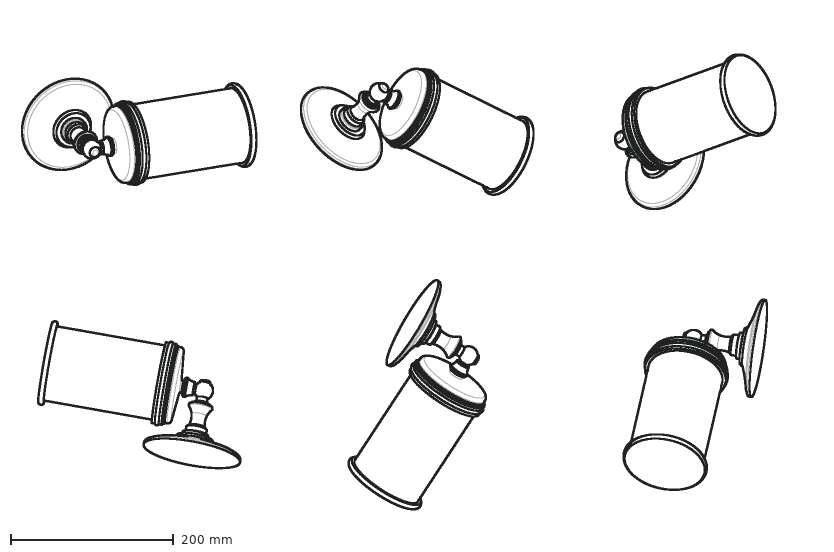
import cadquery as cq



plate_radius = 60.3
plate_edge = 2.3
plate_bevel = 4.5
plate_bevel_radius = 59.0
plate_round_middle = (3.5, 59.8)
plate_rim_end = 6.2
plate_rim_end_radius = 55.2
plate_slope_end = 15.7
plate_slope_end_radius = 25.0
plate_dish_middle = (10.0, 40.7)
plate_depth = 19.5
plate_front_radius = 22.5

collar_end = 25.3
collar_radius = 16.2
collar_round = 1.0
neck_end = 32.2
neck_radius = 13.0
waist_start = 34.8
waist_start_radius = 10.0
waist_middle = (42.3, 8.8)
flare_start = 49.5
flare_start_radius = 9.5
flare_lip = 59.0
flare_lip_radius = 14.7
flare_middle = (54.7, 11.5)
lip_end = 62.1
lip_end_radius = 13.2
lip_middle = (61.0, 14.7)
first_step_end = 63.7
first_step_radius = 11.3
second_step_end = 65.5
second_step_radius = 8.3
spigot_radius = 6.7

jar_axis_x = 81.0
ball_radius = 11.5
cap_end = 93.3
cap_radius = 6.7
cap_round = 2.8

post_radius = 6.2
cup_bottom = 12.6
cup_bottom_radius = 8.5
cup_lip_bottom = 21.1
cup_lip_bottom_radius = 11.3
cup_side_middle = (9.3, 17.3)
cup_lip_radius = 12.0
cup_lip_top = 23.7
cup_top = 25.3
cup_top_radius = 10.5
stalk_radius = 6.5
stalk_flare_start = 26.5
stalk_flare_end = 29.5
stalk_flare_radius = 11.0
stalk_flare_middle = (8.0, 28.4)

floor_apex = 28.0
floor_edge = 32.7
floor_edge_radius = 43.5
base_wall_start = 37.5
floor_round_middle = (46.7, 34.3)
base_radius = 47.7
base_wall_end = 39.7
base_top = 41.0
base_top_radius = 48.2
lower_step_top = 43.3
lower_step_radius = 48.7
upper_step_top = 47.0
step_radius = 50.5
bead_radius = 52.0
base_bead_top = 51.8
shoulder_top = 55.7
body_radius = 46.5
rim_bottom = 190.8
jar_top = 197.5
bead_land_radius = 50.0


def revolve_about_x(profile):
    return profile.close().revolve(360, (0, 0, 0), (1, 0, 0))


def revolve_about_jar_axis(profile):
    return profile.close().revolve(360, (0, 0, 0), (0, 1, 0)).translate((jar_axis_x, 0, 0))


def wall_plate():
    """Shallow dished cone with a rounded rim."""
    profile = (
        cq.Workplane("XY")
        .lineTo(0, plate_radius)
        .lineTo(plate_edge, plate_radius)
        .threePointArc(plate_round_middle, (plate_bevel, plate_bevel_radius))
        .lineTo(plate_rim_end, plate_rim_end_radius)
        .threePointArc(plate_dish_middle, (plate_slope_end, plate_slope_end_radius))
        .lineTo(plate_depth, plate_front_radius)
        .lineTo(plate_depth, 0)
    )
    return revolve_about_x(profile)


def arm():
    """Turned arm: collar, neck, waisted flare, two steps and a spigot into the ball."""
    profile = (
        cq.Workplane("XY")
        .lineTo(0, collar_radius)
        .lineTo(collar_end - collar_round, collar_radius)
        .radiusArc((collar_end, collar_radius - collar_round), collar_round)
        .lineTo(collar_end, neck_radius)
        .lineTo(neck_end, neck_radius)
        .lineTo(waist_start, waist_start_radius)
        .threePointArc(waist_middle, (flare_start, flare_start_radius))
        .threePointArc(flare_middle, (flare_lip, flare_lip_radius))
        .threePointArc(lip_middle, (lip_end, lip_end_radius))
        .lineTo(lip_end, first_step_radius)
        .lineTo(first_step_end, first_step_radius)
        .lineTo(first_step_end, second_step_radius)
        .lineTo(second_step_end, second_step_radius)
        .lineTo(second_step_end, spigot_radius)
        .lineTo(jar_axis_x, spigot_radius)
        .lineTo(jar_axis_x, 0)
    )
    return revolve_about_x(profile)


def ball_joint():
    """Ball at the end of the arm, with a round-edged cap on its far side."""
    ball = cq.Workplane("XY").sphere(ball_radius).translate((jar_axis_x, 0, 0))
    cap = (
        cq.Workplane("YZ", origin=(jar_axis_x, 0, 0))
        .circle(cap_radius)
        .extrude(cap_end - jar_axis_x)
        .faces(">X")
        .edges()
        .fillet(cap_round)
    )
    return ball.union(cap)


def pedestal():
    """Post, flared cup and stalk that carry the jar above the ball."""
    cup_lip_mid_y = (cup_lip_bottom + cup_lip_top) / 2
    profile = (
        cq.Workplane("XY")
        .lineTo(post_radius, 0)
        .lineTo(post_radius, cup_bottom)
        .lineTo(cup_bottom_radius, cup_bottom)
        .threePointArc(cup_side_middle, (cup_lip_bottom_radius, cup_lip_bottom))
        .threePointArc((cup_lip_radius, cup_lip_mid_y), (cup_lip_bottom_radius, cup_lip_top))
        .lineTo(cup_top_radius, cup_lip_top)
        .lineTo(cup_top_radius, cup_top)
        .lineTo(stalk_radius, cup_top)
        .lineTo(stalk_radius, stalk_flare_start)
        .threePointArc(stalk_flare_middle, (stalk_flare_radius, stalk_flare_end))
        .lineTo(stalk_flare_radius, floor_edge)
        .lineTo(0, floor_edge)
    )
    return revolve_about_jar_axis(profile)


def jar():
    """Cylinder with a conical floor, a stepped and beaded base and a beaded rim."""
    base_bead_mid_y = (upper_step_top + base_bead_top) / 2
    rim_mid_y = (rim_bottom + jar_top) / 2
    profile = (
        cq.Workplane("XY")
        .moveTo(0, floor_apex)
        .lineTo(floor_edge_radius, floor_edge)
        .threePointArc(floor_round_middle, (base_radius, base_wall_start))
        .lineTo(base_radius, base_wall_end)
        .lineTo(base_top_radius, base_top)
        .lineTo(lower_step_radius, base_top)
        .lineTo(lower_step_radius, lower_step_top)
        .lineTo(step_radius, lower_step_top)
        .lineTo(step_radius, upper_step_top)
        .threePointArc((bead_radius, base_bead_mid_y), (step_radius, base_bead_top))
        .lineTo(step_radius, shoulder_top)
        .lineTo(body_radius, shoulder_top)
        .lineTo(body_radius, rim_bottom)
        .lineTo(bead_land_radius, rim_bottom)
        .threePointArc((bead_radius, rim_mid_y), (bead_land_radius, jar_top))
        .lineTo(0, jar_top)
    )
    return revolve_about_jar_axis(profile)


result = wall_plate().union(arm()).union(ball_joint()).union(pedestal()).union(jar())